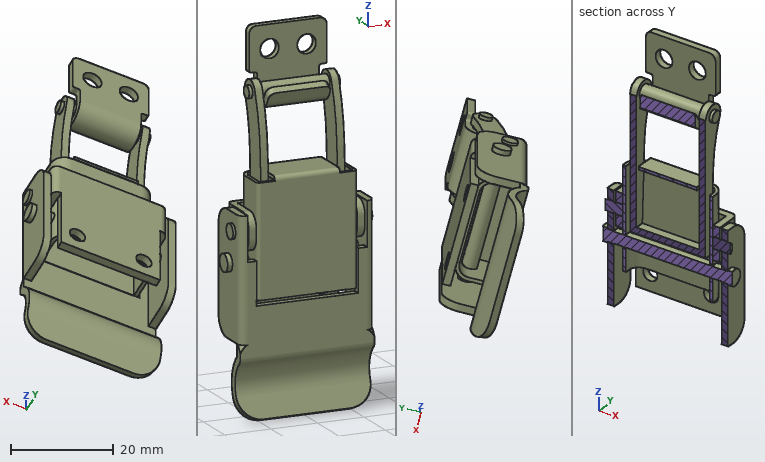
import cadquery as cq
import math


LENGTH = 78.1
DEPTH = 10.8
SHEET = 1.65

KEEPER_WIDTH = 16.7
KEEPER_NECK_WIDTH = 13.35
KEEPER_SHOULDER_Z = 68.65
KEEPER_CORNER = 1.5
KEEPER_SHOULDER_FILLET = 0.5
KEEPER_HOLE_DIAMETER = 4.0
KEEPER_HOLE_SPACING = 8.0
KEEPER_HOLE_FROM_TOP = 5.0
CURL_INNER_RADIUS = 1.8
CURL_END_ANGLE = -30.0
HOOK_LENGTH = 2.4

KEEPER_PIN_Z = 65.45
KEEPER_PIN_LENGTH = 19.6
KEEPER_PIN_DIAMETER = 2.65
ROLLER_DIAMETER = 3.3

YOKE_WIDTH = 18.1
YOKE_INNER_WIDTH = 14.8
ARM_WIDTH = 5.0
ARM_BEND_RADIUS = 37.1
ARM_TILT_TOP = 21.0
ARM_TILT_BOTTOM = 2.3
YOKE_BOTTOM_Z = 34.4
CROSSBAR_HEIGHT = 1.6

BOX_WIDTH = 21.55
BOX_BACK_DEPTH = 1.9
BOX_BOTTOM_Z = 24.9
BOX_TOP_Z = 48.9
BOX_WALL = 0.8
BOX_BACK_RADIUS = 3.1
FLAP_WIDTH = 14.0
FLAP_RISE = 0.9

BASE_WIDTH = 25.0
BASE_BOTTOM_Z = 19.4
BASE_BEND_RADIUS = 1.5
EAR_TOP_Z = 42.5
EAR_HEIGHT = 8.0
EAR_DEPTH = 10.5
EAR_CORNER = 3.0
BASE_HOLE_DIAMETER = 3.35
BASE_HOLE_SPACING = 14.5
BASE_HOLE_Z = 23.4

LEVER_WIDTH = 28.9
SIDE_BACK_DEPTH = 0.4
SIDE_BOTTOM_Z = 16.2
SIDE_CORNER = 4.0
BEND_RUNOUT = 1.6
WINDOW_WIDTH = 21.9
WINDOW_BOTTOM_Z = 23.9
SHOULDER_Z = 33.0
LIP_BACK_RADIUS = 8.0
LIP_CENTER_Z = 7.7
LIP_CENTER_DEPTH = 14.6
LIP_TILT = 23.0
LIP_CORNER = 5.0

PIN_DIAMETER = 3.2
LEVER_PIN_DEPTH = 5.2
LEVER_PIN_Z = 31.8
LEVER_PIN_LENGTH = 31.0
LEVER_PIN_HEAD_DIAMETER = 3.75
RIVET_DEPTH = 6.95
RIVET_Z = 38.6
RIVET_SPAN = 30.0

PIN_AXIS = (SHEET + CURL_INNER_RADIUS, KEEPER_PIN_Z)
BASE_INNER_WIDTH = BASE_WIDTH - 2 * SHEET
LEVER_INNER_WIDTH = LEVER_WIDTH - 2 * SHEET
BASE_PLATE_WIDTH = BOX_WIDTH
LEVER_BACK_DEPTH = DEPTH - SHEET


def polar(center, radius, degrees):
    """(depth, Z) point on a circle; 0 degrees points to the front and 90 degrees up."""
    turn = math.radians(degrees)
    return center[0] + radius * math.cos(turn), center[1] + radius * math.sin(turn)


def yz(point):
    """Sketch coordinates on the YZ plane of a (depth, Z) point."""
    return -point[0], point[1]


def side_sketch(start):
    return cq.Workplane("YZ").moveTo(*yz(start))


def block(width, depths, heights, center_x=0.0):
    """Box centred at center_x, between two depths and two heights."""
    size = (width, depths[1] - depths[0], heights[1] - heights[0])
    center = (center_x, -(depths[0] + depths[1]) / 2, (heights[0] + heights[1]) / 2)
    return cq.Workplane("XY").box(*size).translate(center)


def cross_rod(diameter, depth, height, start_x, end_x):
    """Round rod along X."""
    sketch = cq.Workplane("YZ", origin=(start_x, -depth, height))
    return sketch.circle(diameter / 2).extrude(end_x - start_x)


def front_holes(diameter, spacing, height):
    """Pair of round cutters along Y, symmetric about X = 0."""
    sketch = cq.Workplane("XZ").pushPoints([(-spacing / 2, height), (spacing / 2, height)])
    return sketch.circle(diameter / 2).extrude(DEPTH / 2)


def make_keeper():
    outer = CURL_INNER_RADIUS + SHEET
    inner = CURL_INNER_RADIUS
    middle = (180 + CURL_END_ANGLE + 360) / 2
    outer_end = polar(PIN_AXIS, outer, CURL_END_ANGLE)
    inner_end = polar(PIN_AXIS, inner, CURL_END_ANGLE)
    hook_direction = CURL_END_ANGLE + 90
    keeper = (
        side_sketch((0, LENGTH))
        .lineTo(*yz((0, KEEPER_PIN_Z)))
        .threePointArc(yz(polar(PIN_AXIS, outer, middle)), yz(outer_end))
        .lineTo(*yz(polar(outer_end, HOOK_LENGTH, hook_direction)))
        .lineTo(*yz(polar(inner_end, HOOK_LENGTH, hook_direction)))
        .lineTo(*yz(inner_end))
        .threePointArc(yz(polar(PIN_AXIS, inner, middle)), yz((SHEET, KEEPER_PIN_Z)))
        .lineTo(*yz((SHEET, LENGTH)))
        .close()
        .extrude(KEEPER_WIDTH / 2, both=True)
    )
    below_shoulders = block(KEEPER_WIDTH, (0, DEPTH), (0, KEEPER_SHOULDER_Z))
    neck = block(KEEPER_NECK_WIDTH, (0, DEPTH), (0, KEEPER_SHOULDER_Z))
    keeper = keeper.cut(below_shoulders.cut(neck))
    keeper = keeper.edges("|Y").edges("not >Z").fillet(KEEPER_SHOULDER_FILLET)
    keeper = keeper.edges("|Y").edges(">Z").fillet(KEEPER_CORNER)

    across_hook = cq.Vector(0, *yz(polar((0, 0), 1, CURL_END_ANGLE)))
    keeper = keeper.edges(cq.selectors.ParallelDirSelector(across_hook)).fillet(KEEPER_CORNER)
    hole_z = LENGTH - KEEPER_HOLE_FROM_TOP
    return keeper.cut(front_holes(KEEPER_HOLE_DIAMETER, KEEPER_HOLE_SPACING, hole_z))


def keeper_pin_ends():
    return cross_rod(KEEPER_PIN_DIAMETER, *PIN_AXIS, -KEEPER_PIN_LENGTH / 2, KEEPER_PIN_LENGTH / 2)


def make_keeper_pin():
    roller = cross_rod(ROLLER_DIAMETER, *PIN_AXIS, -YOKE_INNER_WIDTH / 2, YOKE_INNER_WIDTH / 2)
    return keeper_pin_ends().union(roller)


def make_yoke():
    half = ARM_WIDTH / 2
    center = polar(PIN_AXIS, ARM_BEND_RADIUS, ARM_TILT_TOP + 180)
    front_radius = ARM_BEND_RADIUS + half
    back_radius = ARM_BEND_RADIUS - half
    middle = (ARM_TILT_TOP + ARM_TILT_BOTTOM) / 2

    def straight_end(radius):
        start = polar(center, radius, ARM_TILT_BOTTOM)
        drop = start[1] - YOKE_BOTTOM_Z
        return start[0] + drop * math.tan(math.radians(ARM_TILT_BOTTOM)), YOKE_BOTTOM_Z

    yoke = (
        side_sketch(polar(center, front_radius, ARM_TILT_TOP))
        .threePointArc(
            yz(polar(center, front_radius, middle)),
            yz(polar(center, front_radius, ARM_TILT_BOTTOM)),
        )
        .lineTo(*yz(straight_end(front_radius)))
        .lineTo(*yz(straight_end(back_radius)))
        .lineTo(*yz(polar(center, back_radius, ARM_TILT_BOTTOM)))
        .threePointArc(
            yz(polar(center, back_radius, middle)),
            yz(polar(center, back_radius, ARM_TILT_TOP)),
        )
        .threePointArc(
            yz(polar(PIN_AXIS, half, ARM_TILT_TOP + 90)),
            yz(polar(PIN_AXIS, half, ARM_TILT_TOP)),
        )
        .close()
        .extrude(YOKE_WIDTH / 2, both=True)
    )
    opening = block(YOKE_INNER_WIDTH, (0, DEPTH), (YOKE_BOTTOM_Z + CROSSBAR_HEIGHT, LENGTH))
    return yoke.cut(opening).cut(keeper_pin_ends())


def make_spring_box():
    tube = block(BOX_WIDTH, (BOX_BACK_DEPTH, DEPTH), (BOX_BOTTOM_Z, BOX_TOP_Z))
    tube = tube.edges("|Z and >Y").fillet(BOX_BACK_RADIUS)
    tube = tube.edges("|Z and <Y").fillet(BOX_WALL)
    hollow = block(
        BOX_WIDTH - 2 * BOX_WALL,
        (BOX_BACK_DEPTH + BOX_WALL, DEPTH - BOX_WALL),
        (BOX_BOTTOM_Z, BOX_TOP_Z),
    )
    hollow = hollow.edges("|Z and >Y").fillet(BOX_BACK_RADIUS - BOX_WALL)

    flap_bottom = BOX_TOP_Z - BOX_WALL
    flap_top = BOX_TOP_Z + FLAP_RISE
    flap = block(FLAP_WIDTH, (BOX_BACK_DEPTH, DEPTH), (flap_bottom, flap_top))
    flap = flap.edges("<Y and >Z").fillet(FLAP_RISE)
    under_depths = (BOX_BACK_DEPTH, DEPTH - BOX_WALL)
    flap = flap.cut(block(FLAP_WIDTH, under_depths, (flap_bottom, flap_top - BOX_WALL)))
    return tube.cut(hollow).union(flap).cut(lever_pin_shank())


def make_base():
    ear_bottom = EAR_TOP_Z - EAR_HEIGHT
    channel = block(BASE_WIDTH, (0, EAR_DEPTH), (ear_bottom, EAR_TOP_Z))
    channel = channel.edges("|Z and >Y").fillet(BASE_BEND_RADIUS)
    channel = channel.edges("|X and <Y").fillet(EAR_CORNER)
    channel = channel.cut(block(BASE_INNER_WIDTH, (SHEET, EAR_DEPTH), (ear_bottom, EAR_TOP_Z)))
    plate = block(BASE_PLATE_WIDTH, (0, SHEET), (BASE_BOTTOM_Z, EAR_TOP_Z))
    base = channel.union(plate).cut(front_holes(BASE_HOLE_DIAMETER, BASE_HOLE_SPACING, BASE_HOLE_Z))
    return base.cut(rivet_shank(-1)).cut(rivet_shank(1))


def make_lever_plate():
    center = (LIP_CENTER_DEPTH, LIP_CENTER_Z)
    front_radius = LIP_BACK_RADIUS - SHEET
    bend_angle = 180 - math.degrees(math.acos((LIP_CENTER_DEPTH - LEVER_BACK_DEPTH) / LIP_BACK_RADIUS))
    bend = polar(center, LIP_BACK_RADIUS, bend_angle)
    end_angle = 180 + LIP_TILT
    middle = (bend_angle + end_angle) / 2
    back_end = polar(center, LIP_BACK_RADIUS, end_angle)
    front_end = polar(center, front_radius, end_angle)
    tip_length = back_end[1] / math.cos(math.radians(LIP_TILT))
    tip_direction = LIP_TILT - 90

    plate = (
        side_sketch((LEVER_BACK_DEPTH, EAR_TOP_Z))
        .lineTo(*yz(bend))
        .threePointArc(yz(polar(center, LIP_BACK_RADIUS, middle)), yz(back_end))
        .lineTo(*yz(polar(back_end, tip_length, tip_direction)))
        .lineTo(*yz(polar(front_end, tip_length, tip_direction)))
        .lineTo(*yz(front_end))
        .threePointArc(
            yz(polar(center, front_radius, middle)),
            yz(polar(center, front_radius, bend_angle)),
        )
        .threePointArc(yz(polar(bend, SHEET, (bend_angle - 180) / 2)), yz((DEPTH, bend[1])))
        .lineTo(*yz((DEPTH, EAR_TOP_Z)))
        .close()
        .extrude(LEVER_WIDTH / 2, both=True)
    )
    across_tip = cq.Vector(0, *yz(polar((0, 0), 1, LIP_TILT)))
    tip_corners = plate.edges(cq.selectors.ParallelDirSelector(across_tip)).edges("<Z")
    plate = tip_corners.fillet(LIP_CORNER)
    window = block(WINDOW_WIDTH, (LEVER_BACK_DEPTH, DEPTH), (WINDOW_BOTTOM_Z, EAR_TOP_Z))
    above_shoulders = block(LEVER_INNER_WIDTH, (LEVER_BACK_DEPTH, DEPTH), (SHOULDER_Z, EAR_TOP_Z))
    return plate.cut(window).cut(above_shoulders)


def make_lever_side(side):
    center_x = side * (LEVER_WIDTH - SHEET) / 2
    panel = block(SHEET, (SIDE_BACK_DEPTH, DEPTH), (SIDE_BOTTOM_Z, EAR_TOP_Z), center_x)
    return panel.edges("|X and >Y").fillet(SIDE_CORNER)


def bend_cutter(side):
    """Waste outside the rounded bend of a side and outside the conical runout below it."""
    runout_bottom = SIDE_BOTTOM_Z - BEND_RUNOUT
    inner_x = side * LEVER_INNER_WIDTH / 2
    center_x = side * (LEVER_WIDTH - SHEET) / 2
    corner = block(SHEET, (LEVER_BACK_DEPTH, DEPTH), (runout_bottom, EAR_TOP_Z), center_x)
    bend = (
        cq.Workplane("XY", origin=(inner_x, -LEVER_BACK_DEPTH, SIDE_BOTTOM_Z))
        .circle(SHEET)
        .extrude(EAR_TOP_Z - SIDE_BOTTOM_Z)
    )
    runout = (
        cq.Workplane("XY", origin=(inner_x, -LEVER_BACK_DEPTH, runout_bottom))
        .circle(SHEET * math.sqrt(2))
        .workplane(offset=BEND_RUNOUT)
        .circle(SHEET)
        .loft()
    )
    return corner.cut(bend).cut(runout)


def make_lever():
    lever = make_lever_plate()
    for side in (-1, 1):
        lever = lever.union(make_lever_side(side))
    for side in (-1, 1):
        lever = lever.cut(bend_cutter(side)).cut(rivet_shank(side))
    return lever.cut(lever_pin_shank())


def lever_pin_shank():
    return cross_rod(PIN_DIAMETER, LEVER_PIN_DEPTH, LEVER_PIN_Z, -LEVER_WIDTH / 2, LEVER_WIDTH / 2)


def make_lever_pin():
    pin = lever_pin_shank()
    for side in (-1, 1):
        head = cross_rod(
            LEVER_PIN_HEAD_DIAMETER,
            LEVER_PIN_DEPTH,
            LEVER_PIN_Z,
            side * LEVER_WIDTH / 2,
            side * LEVER_PIN_LENGTH / 2,
        )
        pin = pin.union(head)
    return pin


def rivet_shank(side):
    return cross_rod(PIN_DIAMETER, RIVET_DEPTH, RIVET_Z, side * BASE_INNER_WIDTH / 2, side * RIVET_SPAN / 2)


keeper = make_keeper()
keeper_pin = make_keeper_pin()
yoke = make_yoke()
spring_box = make_spring_box()
base = make_base()
lever = make_lever()
lever_pin = make_lever_pin()
rivets = [rivet_shank(side) for side in (-1, 1)]

bodies = [keeper, keeper_pin, yoke, spring_box, base, lever, lever_pin, *rivets]
result = cq.Compound.makeCompound([body.val() for body in bodies])